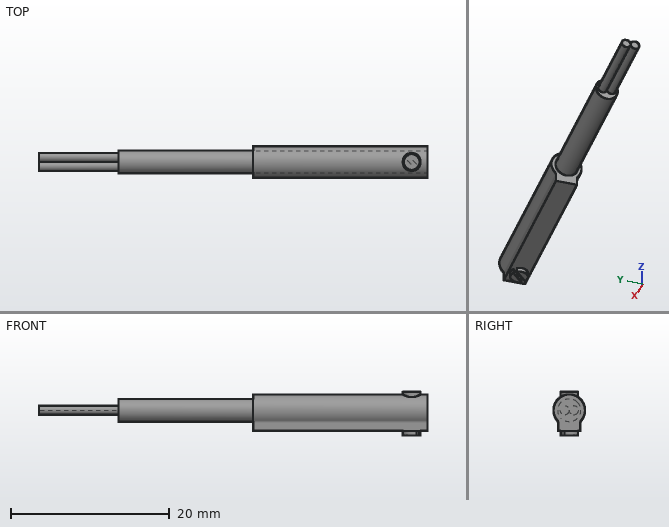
import cadquery as cq
import math

LEAD_DIAMETER = 1.15
LEAD_LENGTH = 10.0
SHEATH_DIAMETER = 2.9
SHEATH_LENGTH = 17.0
BODY_DIAMETER = 4.0
BODY_LENGTH = 22.0
RAIL_WIDTH = 2.8
RAIL_BOTTOM_DEPTH = 2.6
RAIL_FILLET_RADIUS = 0.5
SCREW_DIAMETER = 2.25
SCREW_END_INSET = 2.0
SCREW_TOP_PROJECTION = 0.4
SCREW_BOTTOM_PROJECTION = 0.6
SCREW_TOP_CHAMFER = 0.12
SLOT_WIDTH = 0.5
SLOT_DEPTH = SCREW_BOTTOM_PROJECTION
SLOT_ANGLE = -45.0

SHEATH_START = LEAD_LENGTH
BODY_START = SHEATH_START + SHEATH_LENGTH
BODY_END = BODY_START + BODY_LENGTH
BODY_RADIUS = BODY_DIAMETER / 2
SCREW_X = BODY_END - SCREW_END_INSET
SCREW_TOP = BODY_RADIUS + SCREW_TOP_PROJECTION
SCREW_BOTTOM = -RAIL_BOTTOM_DEPTH - SCREW_BOTTOM_PROJECTION
SLOT_LENGTH = 2 * SCREW_DIAMETER


def rod(diameter, start, length, y=0.0):
    """Solid cylinder along X, beginning at x = start."""
    return cq.Workplane("YZ", origin=(start, y, 0)).circle(diameter / 2).extrude(length)


def make_cable():
    """Round sheath with two bare leads, side by side and touching, at its free end."""
    cable = rod(SHEATH_DIAMETER, SHEATH_START, SHEATH_LENGTH)
    for side in (-1, 1):
        cable = cable.union(rod(LEAD_DIAMETER, 0, LEAD_LENGTH, side * LEAD_DIAMETER / 2))
    return cable


def make_body():
    """Round sensor body blended by concave fillets into a flat-sided rail below it."""
    half_width = RAIL_WIDTH / 2
    fillet_y = half_width + RAIL_FILLET_RADIUS
    centre_distance = BODY_RADIUS + RAIL_FILLET_RADIUS
    fillet_z = -math.sqrt(centre_distance**2 - fillet_y**2)
    touch_y = fillet_y * BODY_RADIUS / centre_distance
    touch_z = fillet_z * BODY_RADIUS / centre_distance
    outline = (
        cq.Workplane("YZ", origin=(BODY_START, 0, 0))
        .moveTo(touch_y, touch_z)
        .threePointArc((0, BODY_RADIUS), (-touch_y, touch_z))
        .radiusArc((-half_width, fillet_z), RAIL_FILLET_RADIUS)
        .lineTo(-half_width, -RAIL_BOTTOM_DEPTH)
        .lineTo(half_width, -RAIL_BOTTOM_DEPTH)
        .lineTo(half_width, fillet_z)
        .radiusArc((touch_y, touch_z), RAIL_FILLET_RADIUS)
        .close()
    )
    return outline.extrude(BODY_LENGTH)


def make_screw():
    """Vertical clamping screw through the body, with a driver slot in its lower end."""
    screw = (
        cq.Workplane("XY", origin=(SCREW_X, 0, SCREW_BOTTOM))
        .circle(SCREW_DIAMETER / 2)
        .extrude(SCREW_TOP - SCREW_BOTTOM)
        .faces(">Z")
        .chamfer(SCREW_TOP_CHAMFER)
    )
    slot = (
        cq.Workplane("XY")
        .box(SLOT_LENGTH, SLOT_WIDTH, SLOT_DEPTH, centered=(True, True, False))
        .rotate((0, 0, 0), (0, 0, 1), SLOT_ANGLE)
        .translate((SCREW_X, 0, SCREW_BOTTOM))
    )
    return screw.cut(slot)


result = make_body().union(make_cable()).union(make_screw())